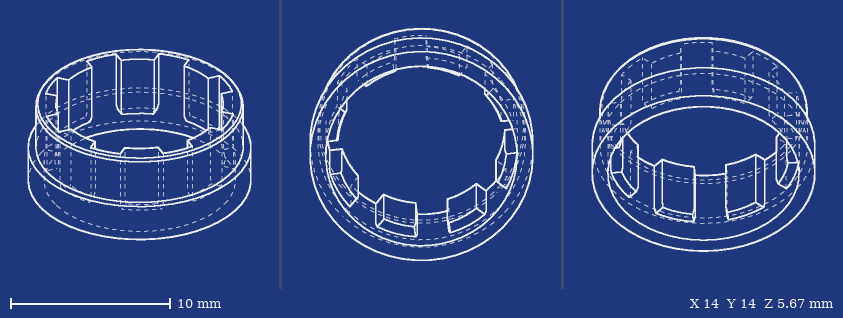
import cadquery as cq
import math

flange_radius = 7.0
flange_height = 2.45
collar_radius = 6.51
total_height = 5.67
bevel_width = 0.11
bevel_height = 0.21

bore_radius = 6.0
tooth_tip_radius = 5.25
tooth_count = 8
slot_width = 2.0
tooth_straight_length = 3.7
tooth_end_height = 0.39
tooth_end_inset = 0.1
tooth_embed = 0.25


def make_sleeve():
    """Revolve the flanged sleeve wall, with a bevel around its top rim."""
    return (
        cq.Workplane("XZ")
        .moveTo(bore_radius, 0)
        .lineTo(flange_radius, 0)
        .lineTo(flange_radius, flange_height)
        .lineTo(collar_radius, flange_height)
        .lineTo(collar_radius, total_height - bevel_height)
        .lineTo(collar_radius - bevel_width, total_height)
        .lineTo(bore_radius, total_height)
        .close()
        .revolve(360, (0, 0), (0, 1))
    )


def tooth_wire(height, inset=0.0):
    """Outline a tooth centred on +X at a height, its tip and slot-parallel sides moved in by inset."""
    half_pitch = math.pi / tooth_count
    root_radius = bore_radius + tooth_embed
    tip_radius = tooth_tip_radius + inset

    def corner(radius):
        angle = half_pitch - math.asin((slot_width / 2 + inset) / radius)
        return radius * math.cos(angle), radius * math.sin(angle)

    tip_x, tip_y = corner(tip_radius)
    root_x, root_y = corner(root_radius)
    return (
        cq.Workplane("XY", origin=(0, 0, height))
        .moveTo(tip_x, -tip_y)
        .lineTo(root_x, -root_y)
        .threePointArc((root_radius, 0), (root_x, root_y))
        .lineTo(tip_x, tip_y)
        .threePointArc((tip_radius, 0), (tip_x, -tip_y))
        .close()
    )


def make_tooth():
    """Build a straight tooth whose lower end tapers in on its tip and both sides."""
    straight_bottom = total_height - tooth_straight_length
    straight = tooth_wire(straight_bottom).extrude(tooth_straight_length)
    end_wire = tooth_wire(straight_bottom - tooth_end_height, tooth_end_inset).val()
    tapered_end = cq.Solid.makeLoft([end_wire, tooth_wire(straight_bottom).val()], True)
    return straight.union(cq.Workplane(tapered_end))


result = make_sleeve()
tooth = make_tooth()
tooth_pitch = 360 / tooth_count
for index in range(tooth_count):
    tooth_angle = (index + 0.5) * tooth_pitch
    result = result.union(tooth.rotate((0, 0, 0), (0, 0, 1), tooth_angle))